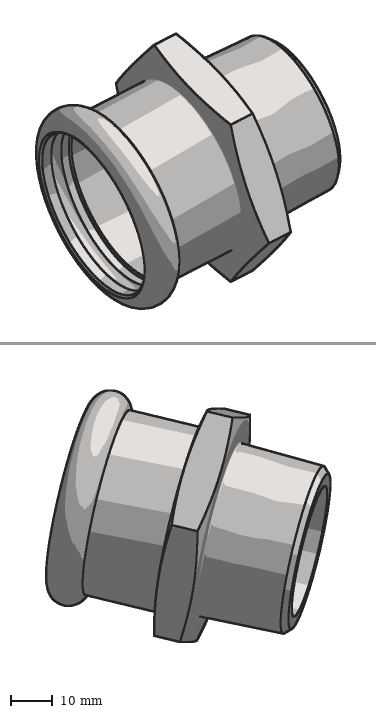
import cadquery as cq
import math

length = 59.0

hex_corners = 63.5
hex_start = 28.0
hex_end = 36.95
hex_face_diameter = 53.85
hex_chamfer_angle = 15.0
root_fillet = 0.3

tube_diameter = 45.4
bead_diameter = 52.65
bead_width = 9.3
mouth_diameter = 42.7
mouth_chamfer = 0.6
mouth_depth = 8.25
mouth_taper_length = 0.45
socket_diameter = 41.6
socket_depth = 34.3
seal_groove_width = 2.9
seal_groove_depth = 0.45

neck_diameter = 42.4
neck_end = 38.1
tip_diameter = 41.15
tip_chamfer = 1.5

bore_diameter = 32.0
bore_chamfer = 0.5


def revolve_about_y(profile):
    return profile.close().revolve(360, (0, 0, 0), (0, 1, 0))


def make_hexagon():
    """Hexagon with corners on X, bevelled by a shallow cone on both faces."""
    prism = (
        cq.Workplane("XZ", origin=(0, hex_start, 0))
        .polygon(6, hex_corners)
        .extrude(hex_start - hex_end)
    )
    face_radius = hex_face_diameter / 2
    corner_radius = hex_corners / 2
    drop = (corner_radius - face_radius) * math.tan(math.radians(hex_chamfer_angle))
    envelope = revolve_about_y(
        cq.Workplane("XY")
        .moveTo(0, hex_start)
        .lineTo(face_radius, hex_start)
        .lineTo(corner_radius, hex_start + drop)
        .lineTo(corner_radius, hex_end - drop)
        .lineTo(face_radius, hex_end)
        .lineTo(0, hex_end)
    )
    return prism.intersect(envelope)


def make_socket_end():
    """Plain tube with a half-round bead at its mouth and a small fillet at the hexagon."""
    tube_radius = tube_diameter / 2
    bead_radius = bead_width / 2
    bead_centre = bead_diameter / 2 - bead_radius
    bead = revolve_about_y(
        cq.Workplane("XY")
        .lineTo(bead_centre, 0)
        .threePointArc((bead_diameter / 2, bead_radius), (bead_centre, bead_width))
        .lineTo(0, bead_width)
    )
    tube = revolve_about_y(
        cq.Workplane("XY")
        .moveTo(0, bead_radius)
        .lineTo(tube_radius, bead_radius)
        .lineTo(tube_radius, hex_start - root_fillet)
        .radiusArc((tube_radius + root_fillet, hex_start), root_fillet)
        .lineTo(0, hex_start)
    )
    return bead.union(tube)


def make_male_end():
    """Fillet, short neck, slight taper and chamfered tip."""
    neck_radius = neck_diameter / 2
    tip_radius = tip_diameter / 2
    return revolve_about_y(
        cq.Workplane("XY")
        .moveTo(0, hex_end)
        .lineTo(neck_radius + root_fillet, hex_end)
        .radiusArc((neck_radius, hex_end + root_fillet), root_fillet)
        .lineTo(neck_radius, neck_end)
        .lineTo(tip_radius, length - tip_chamfer)
        .lineTo(tip_radius - tip_chamfer, length)
        .lineTo(0, length)
    )


def make_cavity():
    """Stepped socket with a shallow seal groove inside the bead, chamfered bore edge and through bore."""
    mouth_radius = mouth_diameter / 2
    socket_radius = socket_diameter / 2
    bore_radius = bore_diameter / 2
    groove_middle = bead_width / 2
    groove_start = groove_middle - seal_groove_width / 2
    groove_end = groove_middle + seal_groove_width / 2
    return revolve_about_y(
        cq.Workplane("XY")
        .lineTo(mouth_radius + mouth_chamfer, 0)
        .lineTo(mouth_radius, mouth_chamfer)
        .lineTo(mouth_radius, groove_start)
        .threePointArc((mouth_radius + seal_groove_depth, groove_middle), (mouth_radius, groove_end))
        .lineTo(mouth_radius, mouth_depth)
        .lineTo(socket_radius, mouth_depth + mouth_taper_length)
        .lineTo(socket_radius, socket_depth)
        .lineTo(bore_radius + bore_chamfer, socket_depth)
        .lineTo(bore_radius, socket_depth + bore_chamfer)
        .lineTo(bore_radius, length)
        .lineTo(0, length)
    )


body = make_hexagon().union(make_socket_end()).union(make_male_end())
result = body.cut(make_cavity())